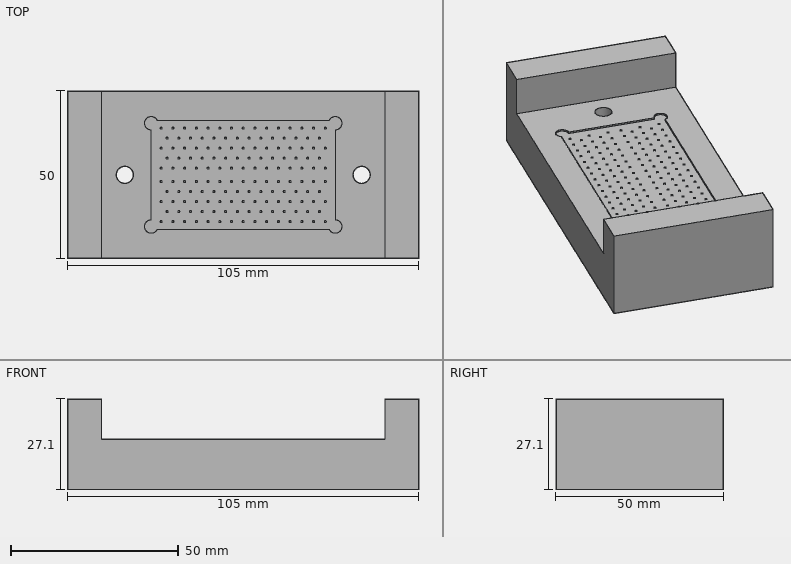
import cadquery as cq

length = 105.0
width = 50.0
height = 27.1

wall_thickness = 10.2
wall_height = 12.0
floor_height = height - wall_height

pocket_length = 55.0
pocket_width = 32.5
pocket_depth = 0.5
relief_diameter = 4.0
relief_inset_y = 0.8
relief_spacing_y = pocket_width - 2 * relief_inset_y
pocket_bottom = floor_height - pocket_depth

mounting_hole_diameter = 5.0
mounting_hole_spacing = 70.8

small_hole_diameter = 0.6
small_hole_depth = 2.1
rows_per_side = 5
inner_row_y = 2.0
outer_row_y = 14.0
row_pitch = (outer_row_y - inner_row_y) / (rows_per_side - 1)
full_row_count = 15
full_row_length = 49.0
hole_pitch = full_row_length / (full_row_count - 1)


def make_body():
    """Block with a full-width channel that leaves a wall at each end."""
    block = cq.Workplane("XY").box(length, width, height, centered=(True, True, False))
    channel = (
        cq.Workplane("XY", origin=(0, 0, floor_height))
        .box(length - 2 * wall_thickness, width, wall_height, centered=(True, True, False))
    )
    return block.cut(channel)


def make_pocket():
    """Rectangular pocket volume with a round relief at each corner."""
    base = cq.Workplane("XY", origin=(0, 0, pocket_bottom))
    rectangle = base.rect(pocket_length, pocket_width).extrude(pocket_depth)
    reliefs = (
        base.rect(pocket_length, relief_spacing_y, forConstruction=True)
        .vertices()
        .circle(relief_diameter / 2)
        .extrude(pocket_depth)
    )
    return rectangle.union(reliefs)


def make_mounting_holes():
    """Two vertical cylinders through the full floor thickness."""
    half_spacing = mounting_hole_spacing / 2
    return (
        cq.Workplane("XY")
        .pushPoints([(-half_spacing, 0), (half_spacing, 0)])
        .circle(mounting_hole_diameter / 2)
        .extrude(floor_height)
    )


def small_hole_centres():
    """Centres of the staggered rows; every second row is one hole shorter."""
    centres = []
    for row in range(rows_per_side):
        y = inner_row_y + row * row_pitch
        count = full_row_count - row % 2
        first_x = -(count - 1) * hole_pitch / 2
        for column in range(count):
            x = first_x + column * hole_pitch
            centres += [(x, y), (x, -y)]
    return centres


def make_small_holes():
    """Blind holes sunk into the bottom of the pocket."""
    return (
        cq.Workplane("XY", origin=(0, 0, pocket_bottom))
        .pushPoints(small_hole_centres())
        .circle(small_hole_diameter / 2)
        .extrude(-small_hole_depth)
    )


result = make_body().cut(make_pocket()).cut(make_mounting_holes()).cut(make_small_holes())